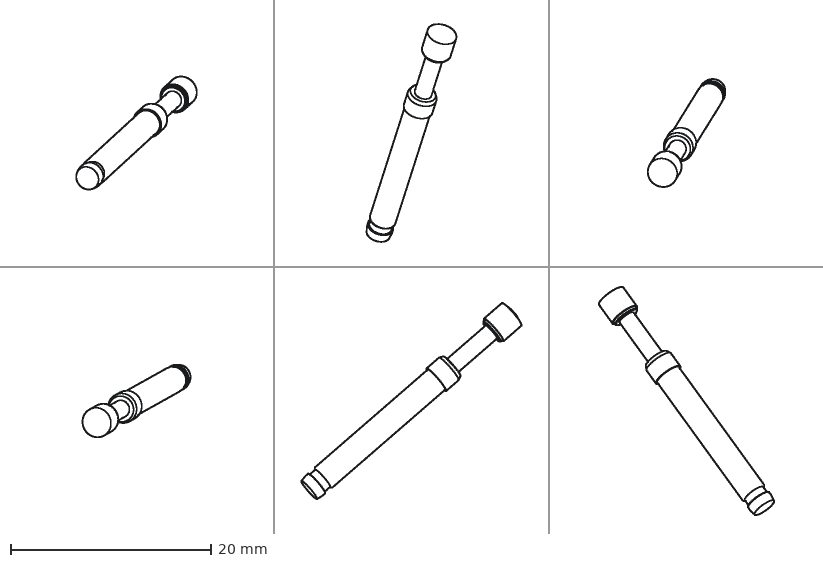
import cadquery as cq

length = 27.3
head_radius = 1.5
crown_height = 0.25
head_end = 2.65
head_step_radius = 1.35
head_step_end = 2.98
head_step_chamfer = 0.08

stem_radius = 0.87

collar_start = 8.25
collar_mouth_radius = 1.3
collar_taper_end = 8.65
collar_radius = head_radius
collar_end = 10.32

barrel_radius = 1.35
barrel_end = 25.5
barrel_round = 0.2

neck_radius = barrel_radius - barrel_round
tail_start = 26.3
tail_radius = 1.3
tail_taper_start = 26.7
tail_end_radius = 1.2


def y_at(station):
    return length / 2 - station


def add_section(profile, radius, start, end):
    """Step the half profile to a radius at one station and run straight to the next."""
    return profile.lineTo(radius, y_at(start)).lineTo(radius, y_at(end))


dome_radius = (head_radius**2 + crown_height**2) / (2 * crown_height)
mid_radius = head_radius / 2
mid_drop = dome_radius - (dome_radius**2 - mid_radius**2) ** 0.5

profile = (
    cq.Workplane("XY")
    .moveTo(0, y_at(0))
    .threePointArc((mid_radius, y_at(mid_drop)), (head_radius, y_at(crown_height)))
)

profile = profile.lineTo(head_radius, y_at(head_end))
profile = add_section(profile, head_step_radius, head_end, head_step_end - head_step_chamfer)
profile = profile.lineTo(head_step_radius - head_step_chamfer, y_at(head_step_end))

profile = add_section(profile, stem_radius, head_step_end, collar_start)

profile = profile.lineTo(collar_mouth_radius, y_at(collar_start))
profile = add_section(profile, collar_radius, collar_taper_end, collar_end)

profile = add_section(profile, barrel_radius, collar_end, barrel_end - barrel_round)
profile = profile.radiusArc((neck_radius, y_at(barrel_end)), barrel_round)

profile = profile.lineTo(neck_radius, y_at(tail_start))
profile = add_section(profile, tail_radius, tail_start, tail_taper_start)
profile = profile.lineTo(tail_end_radius, y_at(length)).lineTo(0, y_at(length))

result = profile.close().revolve(360, (0, 0, 0), (0, 1, 0))